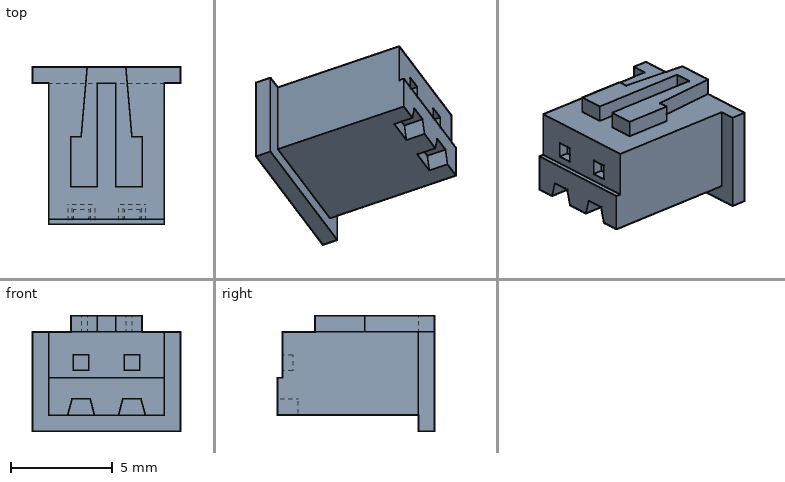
import cadquery as cq

total_length = 7.75
body_width = 5.7
top_z = 4.9

flange_rim = 0.8
flange_thickness = 0.8
flange_width = body_width + 2 * flange_rim
flange_y = total_length - flange_thickness

step_depth = 0.25
step_z = 2.65

contact_pitch = 2.5
contact_count = 2
window_size = 0.75
window_center_z = 3.4
window_depth = 0.5
notch_base_width = 1.32
notch_top_width = 0.9
notch_height = 0.8
notch_depth = 1.0

latch_height = 0.8
latch_front_y = 1.85
latch_shoulder_y = 4.3
latch_head_width = 3.5
latch_neck_width = 2.5
latch_root_width = 1.9
latch_slot_width = 0.9


def make_block(width, y_start, y_end, z_start, z_end, x_center=0):
    """Box given by its width about x_center and its Y and Z limits."""
    return cq.Workplane("XY").box(
        width, y_end - y_start, z_end - z_start, centered=(True, False, False)
    ).translate((x_center, y_start, z_start))


def make_housing():
    """Body with the rear flange and the stepped front face."""
    body = make_block(body_width, 0, total_length, flange_rim, top_z)
    flange = make_block(flange_width, flange_y, total_length, 0, top_z)
    step = make_block(body_width, 0, step_depth, step_z, top_z)
    return body.union(flange).cut(step)


def make_latch():
    """Wide latch head on a neck that tapers to the rear, slotted lengthwise."""
    head_x = latch_head_width / 2
    neck_x = latch_neck_width / 2
    root_x = latch_root_width / 2
    right_side = [
        (head_x, latch_front_y),
        (head_x, latch_shoulder_y),
        (neck_x, latch_shoulder_y),
        (root_x, total_length),
    ]
    left_side = [(-x, y) for x, y in reversed(right_side)]
    latch = (
        cq.Workplane("XY", origin=(0, 0, top_z))
        .polyline(right_side + left_side)
        .close()
        .extrude(latch_height)
    )
    slot = make_block(latch_slot_width, latch_front_y, flange_y, top_z, top_z + latch_height)
    return latch.cut(slot)


def make_window(x_center):
    """Square blind hole in the upper front face."""
    return make_block(
        window_size,
        step_depth,
        step_depth + window_depth,
        window_center_z - window_size / 2,
        window_center_z + window_size / 2,
        x_center,
    )


def make_notch(x_center):
    """Trapezoidal notch in the lower front edge, open at the underside."""
    notch_top_z = flange_rim + notch_height
    return (
        cq.Workplane("XZ")
        .polyline([
            (x_center - notch_base_width / 2, flange_rim),
            (x_center + notch_base_width / 2, flange_rim),
            (x_center + notch_top_width / 2, notch_top_z),
            (x_center - notch_top_width / 2, notch_top_z),
        ])
        .close()
        .extrude(-notch_depth)
    )


result = make_housing().union(make_latch())
for index in range(contact_count):
    contact_x = (index - (contact_count - 1) / 2) * contact_pitch
    result = result.cut(make_window(contact_x)).cut(make_notch(contact_x))